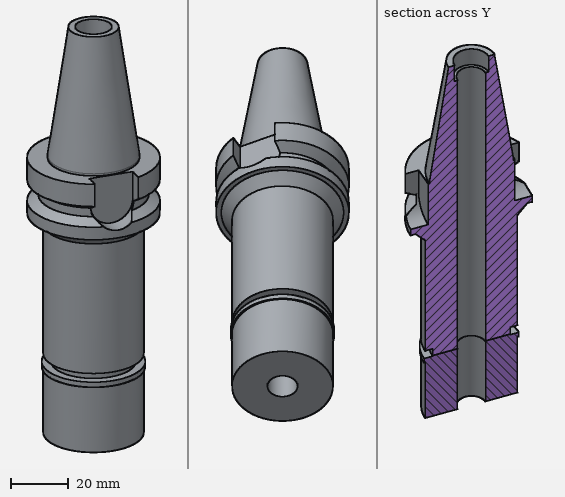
import cadquery as cq

total_height = 153.4
bore_radius = 5.2

nut_radius = 17.5
nut_top = 26.8
collar_radius = 18.0
collar_bottom = 24.9

shank_radius = nut_radius
shank_bottom = 29.9
neck_radius = 14.7

flange_radius = 23.0
flange_bottom = 83.0
flange_top = 104.0
shank_cone_bottom = 79.0
shank_cone_radius = 21.2
groove_radius = 19.2
groove_start = 87.7
groove_floor_bottom = 90.0
groove_floor_top = 93.3
groove_end = 95.5

gauge_height = 105.0
taper_base_radius = 16.0
taper_top_radius = 8.7
counterbore_radius = 6.37
counterbore_depth = 7.0

slot_width = 16.1
slot_floor = 16.4
slot_bottom = 85.9


def revolve_profile(points):
    """Revolve a closed (radius, height) outline about the Z axis."""
    return cq.Workplane("XZ").polyline(points).close().revolve(360, (0, 0), (0, 1))


def make_drive_slot(side):
    """Cutter for a slot with a round lower end; side is -1 or +1 along X."""
    half_width = slot_width / 2
    arc_center = slot_bottom + half_width
    return (
        cq.Workplane("YZ", origin=(side * slot_floor, 0, 0))
        .moveTo(-half_width, flange_top)
        .lineTo(-half_width, arc_center)
        .threePointArc((0, slot_bottom), (half_width, arc_center))
        .lineTo(half_width, flange_top)
        .close()
        .extrude(side * flange_radius)
    )


def make_holder():
    """Neck, shank, flange and taper in one piece, with a stepped bore."""
    counterbore_floor = total_height - counterbore_depth
    holder = revolve_profile([
        (bore_radius, nut_top),
        (neck_radius, nut_top),
        (neck_radius, shank_bottom),
        (shank_radius, shank_bottom),
        (shank_radius, shank_cone_bottom),
        (shank_cone_radius, flange_bottom),
        (flange_radius, flange_bottom),
        (flange_radius, groove_start),
        (groove_radius, groove_floor_bottom),
        (groove_radius, groove_floor_top),
        (flange_radius, groove_end),
        (flange_radius, flange_top),
        (taper_base_radius, flange_top),
        (taper_base_radius, gauge_height),
        (taper_top_radius, total_height),
        (counterbore_radius, total_height),
        (counterbore_radius, counterbore_floor),
        (bore_radius, counterbore_floor),
    ])
    for side in (-1, 1):
        holder = holder.cut(make_drive_slot(side))
    return holder


def make_nut():
    """Plain round nut with a thin collar at its top and a through bore."""
    return revolve_profile([
        (bore_radius, 0),
        (nut_radius, 0),
        (nut_radius, collar_bottom),
        (collar_radius, collar_bottom),
        (collar_radius, nut_top),
        (bore_radius, nut_top),
    ])


holder = make_holder()
nut = make_nut()

result = cq.Compound.makeCompound([holder.val(), nut.val()])